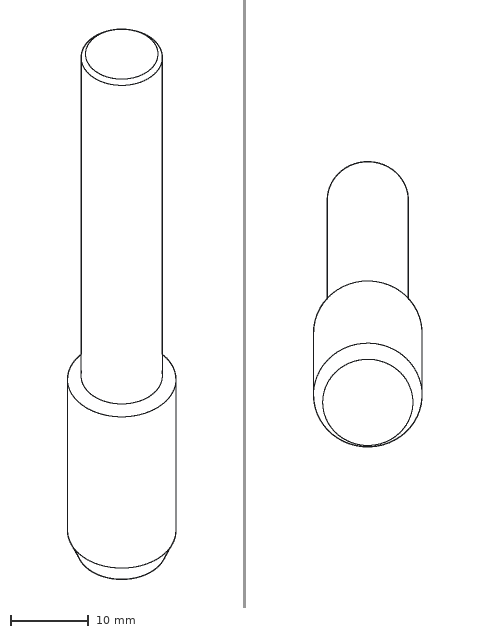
import cadquery as cq

total_length = 88.0

head_radius = 14.0 / 2
head_length = 30.7
shoulder_height = 0.6
tip_radius = 5.8
tip_height = 3.2

shank_radius = 10.5 / 2
shank_length = total_length - head_length
shank_chamfer = 0.57


def make_head():
    """Turned head with a tapered tip and a shallow conical shoulder up to the shank."""
    return (
        cq.Workplane("XZ")
        .moveTo(0, 0)
        .lineTo(tip_radius, 0)
        .lineTo(head_radius, tip_height)
        .lineTo(head_radius, head_length - shoulder_height)
        .lineTo(shank_radius, head_length)
        .lineTo(0, head_length)
        .close()
        .revolve(360, (0, 0, 0), (0, 1, 0))
    )


def make_shank():
    """Plain round shank with a chamfered top end."""
    return (
        cq.Workplane("XY")
        .workplane(offset=head_length)
        .circle(shank_radius)
        .extrude(shank_length)
        .faces(">Z")
        .chamfer(shank_chamfer)
    )


head = make_head()
shank = make_shank()

result = cq.Compound.makeCompound([head.val(), shank.val()])